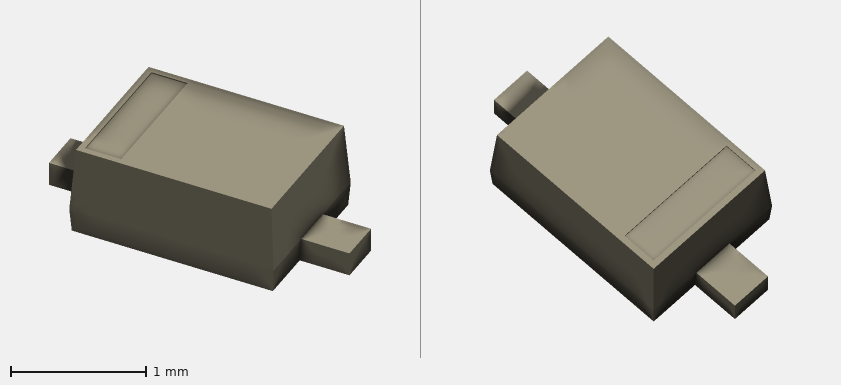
import cadquery as cq
import math

body_length = 1.70
body_width = 1.25
body_height = 0.73
parting_height = 0.20
draft_angle = 4.0

overall_length = 2.50
lead_width = 0.35
lead_thickness = parting_height

mark_length = 0.30
mark_margin = 0.05
mark_depth = 0.01

upper_height = body_height - parting_height
top_inset = upper_height * math.tan(math.radians(draft_angle))
top_length = body_length - 2 * top_inset
top_width = body_width - 2 * top_inset


def drafted_half(height):
    """Half of the body, tapering from the parting plane to the given signed height."""
    return (
        cq.Workplane("XY")
        .workplane(offset=parting_height)
        .rect(body_length, body_width)
        .extrude(height, taper=draft_angle)
    )


def lead_strip():
    """One strip through the body whose ends form the two leads."""
    return cq.Workplane("XY").box(
        overall_length, lead_width, lead_thickness, centered=(True, True, False)
    )


def cathode_mark():
    """Cutter for the mark, set in from the -X edge of the top face."""
    mark_width = top_width - 2 * mark_margin
    mark_center_x = -top_length / 2 + mark_margin + mark_length / 2
    return (
        cq.Workplane("XY")
        .workplane(offset=body_height - mark_depth)
        .center(mark_center_x, 0)
        .rect(mark_length, mark_width)
        .extrude(mark_depth)
    )


upper_half = drafted_half(upper_height)
lower_half = drafted_half(-parting_height)
body = upper_half.union(lower_half)
result = body.union(lead_strip()).cut(cathode_mark())